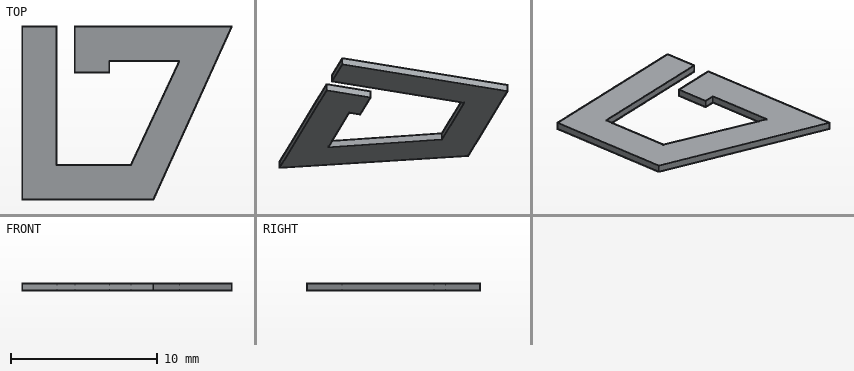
import cadquery as cq

length = 14.36
width = 11.85
thickness = 0.5

band = 2.37
bottom_length = 8.99
gap = 1.23
hook_depth = 3.16
window_bottom_right = 7.44
window_top_right = 10.75

hook_left = band + gap
hook_right = hook_left + band
hook_bottom = width - hook_depth
window_top = width - band

outline = [
    (0, 0),
    (bottom_length, 0),
    (length, width),
    (hook_left, width),
    (hook_left, hook_bottom),
    (hook_right, hook_bottom),
    (hook_right, window_top),
    (window_top_right, window_top),
    (window_bottom_right, band),
    (band, band),
    (band, width),
    (0, width),
]

result = cq.Workplane("XY").polyline(outline).close().extrude(thickness)